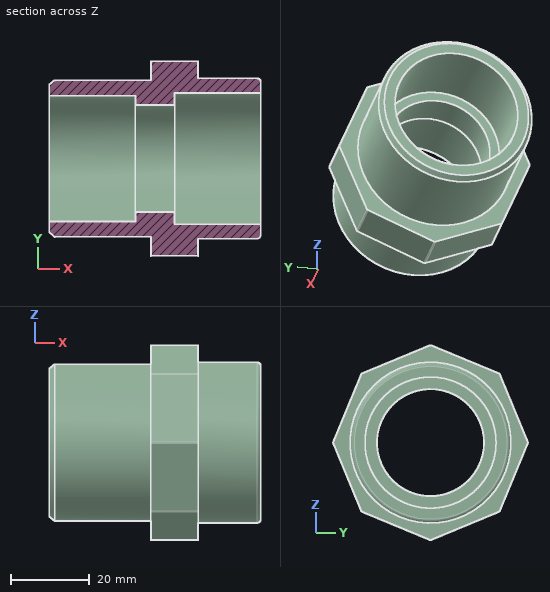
import cadquery as cq
import math

total_length = 54.0
spigot_length = 25.9
collar_length = 12.05
socket_length = total_length - spigot_length - collar_length

spigot_diameter = 40.0
socket_diameter = 41.0
collar_corner_diameter = 49.7
collar_sides = 8
collar_edge_radius = 0.5
spigot_chamfer_length = 1.4
spigot_chamfer_depth = 1.2
socket_edge_radius = 1.0

spigot_bore_diameter = 32.0
throat_diameter = 27.2
socket_bore_diameter = 33.4
spigot_bore_depth = 22.0
socket_bore_depth = spigot_bore_depth


def cylinder(diameter, start, length):
    """Round bar along +X, beginning at the given X position."""
    return cq.Workplane("YZ", origin=(start, 0, 0)).circle(diameter / 2).extrude(length)


spigot_radius = spigot_diameter / 2
spigot = (
    cq.Workplane("XY")
    .moveTo(0, 0)
    .lineTo(0, spigot_radius - spigot_chamfer_depth)
    .lineTo(spigot_chamfer_length, spigot_radius)
    .lineTo(spigot_length, spigot_radius)
    .lineTo(spigot_length, 0)
    .close()
    .revolve(360, (0, 0, 0), (1, 0, 0))
)

corner_trim = collar_edge_radius * (1 / math.cos(math.pi / collar_sides) - 1)
sharp_corner_diameter = collar_corner_diameter + 2 * corner_trim
collar = (
    cq.Workplane("YZ", origin=(spigot_length, 0, 0))
    .polygon(collar_sides, sharp_corner_diameter)
    .extrude(collar_length)
    .edges("|X")
    .fillet(collar_edge_radius)
)

socket_start = spigot_length + collar_length
socket = cylinder(socket_diameter, socket_start, socket_length).faces(">X").edges().fillet(socket_edge_radius)

bore = (
    cylinder(throat_diameter, 0, total_length)
    .union(cylinder(spigot_bore_diameter, 0, spigot_bore_depth))
    .union(cylinder(socket_bore_diameter, total_length - socket_bore_depth, socket_bore_depth))
)

result = spigot.union(collar).union(socket).cut(bore)